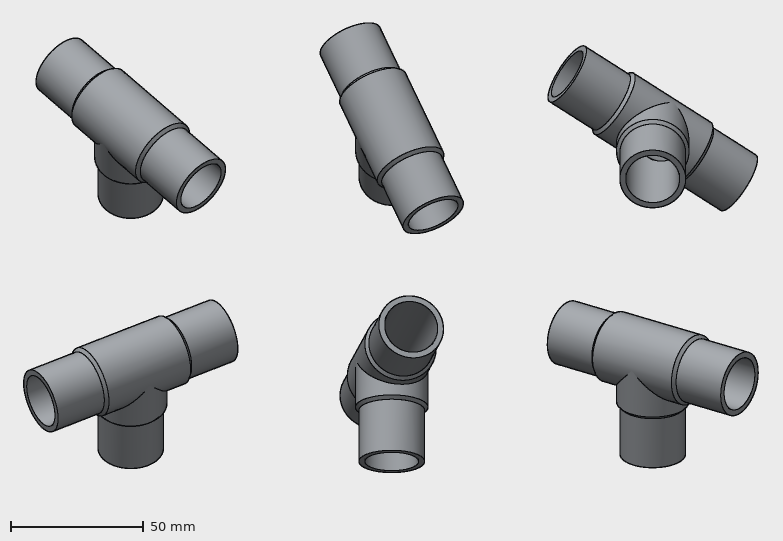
import cadquery as cq

run_length = 80.0
arm_length = run_length / 2
pipe_diameter = 25.0
body_diameter = 27.5
bore_diameter = 20.4
body_reach = 19.4

shoulder_chamfer = (body_diameter - pipe_diameter) / 2

run_plane = cq.Plane(origin=(0, 0, 0), xDir=(0, 0, 1), normal=(1, 0, 0))
branch_plane = cq.Plane(origin=(0, 0, 0), xDir=(1, 0, 0), normal=(0, 0, -1))


def run_cylinder(diameter, reach):
    """Cylinder along X, reaching equally far both ways from the centre."""
    return cq.Workplane(run_plane).workplane(offset=-reach).circle(diameter / 2).extrude(2 * reach)


def branch_cylinder(diameter, reach):
    """Cylinder from the centre straight down along -Z."""
    return cq.Workplane(branch_plane).circle(diameter / 2).extrude(reach)


run_body = run_cylinder(body_diameter, body_reach).faces("<X or >X").chamfer(shoulder_chamfer)
branch_body = branch_cylinder(body_diameter, body_reach).faces("<Z").chamfer(shoulder_chamfer)

run_pipe = run_cylinder(pipe_diameter, arm_length)
branch_pipe = branch_cylinder(pipe_diameter, arm_length)

run_bore = run_cylinder(bore_diameter, arm_length)
branch_bore = branch_cylinder(bore_diameter, arm_length)

outside = run_body.union(branch_body).union(run_pipe).union(branch_pipe)
result = outside.cut(run_bore).cut(branch_bore)